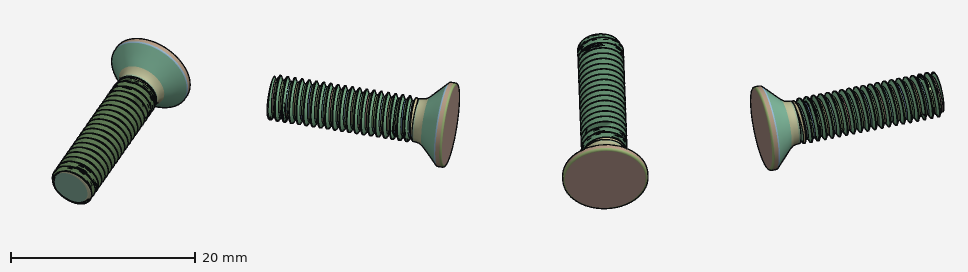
import cadquery as cq
import math

length = 20.0

head_radius = 9.3 / 2
rim_depth = 0.78
rim_fillet = 0.25
cone_half_angle = 45.0

neck_radius = 2.38
neck_fillet = 1.3
neck_end = 3.82

pitch = 0.8
crest_radius = 2.5
root_radius = 2.05
crest_width = 0.1
flank_angle = 30.0
crest_depth = 4.62
ridge_overlap = 0.05

thread_start_radius = 2.25
thread_start_run = 0.8
tip_face_radius = 2.08
envelope_clearance = 0.05


def make_head():
    """Rounded rim, cone and short neck."""
    cone_depth = (head_radius - neck_radius) / math.tan(math.radians(cone_half_angle))
    cone_end = rim_depth + cone_depth
    head = (
        cq.Workplane("XZ")
        .polyline([
            (0, 0),
            (head_radius, 0),
            (head_radius, -rim_depth),
            (neck_radius, -cone_end),
            (neck_radius, -neck_end),
            (0, -neck_end),
        ])
        .close()
        .revolve(360, (0, 0, 0), (0, 1, 0))
    )
    margin = 0.02
    rim_edges = cq.selectors.BoxSelector(
        (-head_radius, -head_radius, -rim_depth - margin),
        (head_radius, head_radius, margin),
    )
    neck_edge = cq.selectors.BoxSelector(
        (-head_radius, -head_radius, -cone_end - margin),
        (head_radius, head_radius, -cone_end + margin),
    )
    head = head.edges("%CIRCLE").edges(rim_edges).fillet(rim_fillet)
    return head.edges("%CIRCLE").edges(neck_edge).fillet(neck_fillet)


def make_core():
    """Plain shank at the root of the thread."""
    return cq.Workplane("XY").circle(root_radius).extrude(-length)


def make_ridge():
    """Helical ridge whose two ends lie beyond the neck end and the tip."""
    turns_below = math.ceil((length - crest_depth) / pitch)
    turns_above = math.ceil((crest_depth - neck_end) / pitch) + 1
    bottom = -crest_depth - turns_below * pitch
    helix_height = (turns_below + turns_above) * pitch
    base_radius = root_radius - ridge_overlap
    half_crest = crest_width / 2
    half_base = half_crest + (crest_radius - base_radius) * math.tan(math.radians(flank_angle))

    helix = cq.Wire.makeHelix(pitch, helix_height, base_radius, cq.Vector(0, 0, bottom))
    return (
        cq.Workplane("XZ")
        .polyline([
            (base_radius, bottom - half_base),
            (crest_radius, bottom - half_crest),
            (crest_radius, bottom + half_crest),
            (base_radius, bottom + half_base),
        ])
        .close()
        .sweep(cq.Workplane(helix), isFrenet=True)
    )


def make_envelope():
    """Solid that trims the ridge: tapered below the neck, rounded at the tip."""
    envelope_radius = crest_radius + envelope_clearance
    tip_rounding = envelope_radius - tip_face_radius
    arc_reach = tip_rounding * math.sin(math.radians(45))
    arc_center_height = -length + tip_rounding
    return (
        cq.Workplane("XZ")
        .moveTo(0, -neck_end)
        .lineTo(thread_start_radius, -neck_end)
        .lineTo(envelope_radius, -neck_end - thread_start_run)
        .lineTo(envelope_radius, arc_center_height)
        .threePointArc(
            (tip_face_radius + arc_reach, arc_center_height - arc_reach),
            (tip_face_radius, -length),
        )
        .lineTo(0, -length)
        .close()
        .revolve(360, (0, 0, 0), (0, 1, 0))
    )


thread = make_ridge().intersect(make_envelope())
screw = make_head().union(make_core()).union(thread)
result = screw.rotate((0, 0, 0), (1, 0, 0), -90)